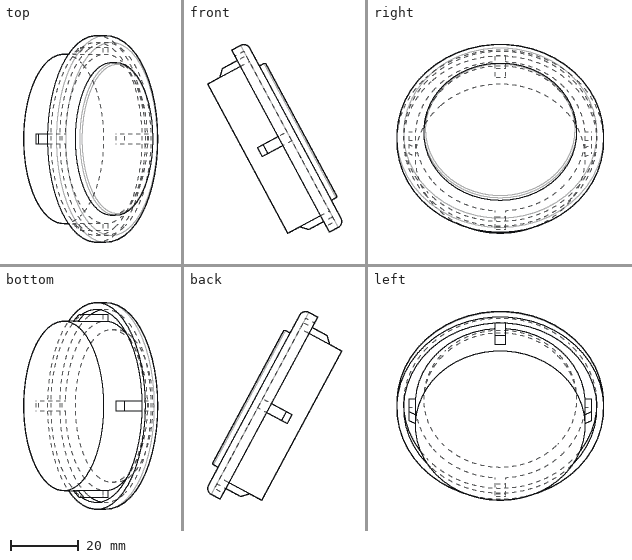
import cadquery as cq

axis_tilt = 28.2

plug_diameter = 50
flange_diameter = 61
recess_diameter = 57.0
button_diameter = 45.0

plug_height = 11
flange_thickness = 5.0
recess_depth = 3.0
button_height = 2.0
flange_round = (flange_diameter - recess_diameter) / 2
button_round = 0.5

rib_count = 4
rib_width = 3.0
rib_outer_radius = 26.95
rib_foot_height = 4.1
rib_shoulder_height = 6.0
rib_overlap = 1.2


def disc(diameter, bottom, height):
    """Solid disc on the cap axis."""
    return cq.Workplane("XY").workplane(offset=bottom).circle(diameter / 2).extrude(height)


def make_flange():
    """Flange with a rounded front rim and a recess in its back face."""
    rim = disc(flange_diameter, plug_height, flange_thickness).faces(">Z").edges().fillet(flange_round)
    return rim.cut(disc(recess_diameter, plug_height, recess_depth))


def make_button():
    """Raised round pad on the front of the flange."""
    button = disc(button_diameter, plug_height + flange_thickness, button_height)
    return button.faces(">Z").edges().fillet(button_round)


def make_rib(angle):
    """Rib from the recess floor down the plug wall, with a sloped lower end."""
    plug_radius = plug_diameter / 2
    inner_radius = plug_radius - rib_overlap
    recess_floor = plug_height + recess_depth
    profile = [
        (inner_radius, recess_floor),
        (inner_radius, rib_foot_height),
        (plug_radius, rib_foot_height),
        (rib_outer_radius, rib_shoulder_height),
        (rib_outer_radius, recess_floor),
    ]
    rib = cq.Workplane("XZ").polyline(profile).close().extrude(rib_width / 2, both=True)
    return rib.rotate((0, 0, 0), (0, 0, 1), angle)


cap = make_flange().union(disc(plug_diameter, 0, plug_height + recess_depth))
cap = cap.union(make_button())
for index in range(rib_count):
    cap = cap.union(make_rib(index * 360 / rib_count))

result = cap.rotate((0, 0, 0), (0, 1, 0), 90 - axis_tilt)